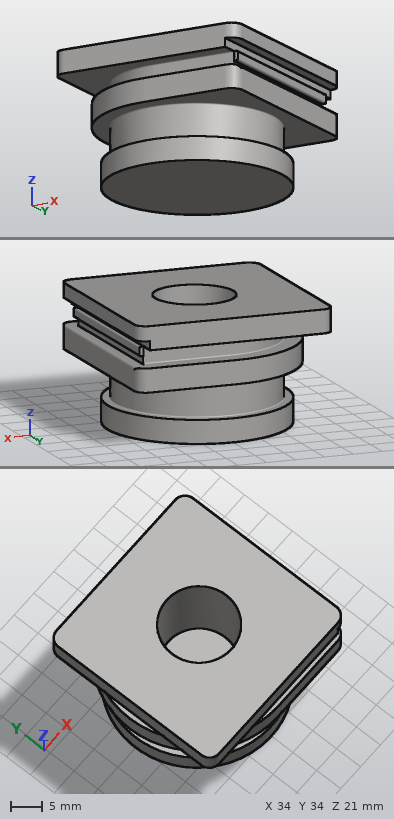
import cadquery as cq

side = 34.0
half_side = side / 2
corner_radius = 2.0
inner_end_x = half_side - corner_radius

total_height = 21.0
disc_thickness = 4.0
upper_neck_height = 3.0
head_bottom = total_height - disc_thickness
collar_top = head_bottom - upper_neck_height
collar_bottom = collar_top - disc_thickness
foot_top = disc_thickness

neck_radius = 28.0 / 2
foot_radius = 31.0 / 2
root_fillet = 0.2

edge_lip_thickness = 2.5

rib_projection = 0.75
rib_height = 1.6
rib_half_width = neck_radius + root_fillet
rib_rounding = 0.35

collar_edge_rounding = 0.5

bore_x = 0.48
bore_top_radius = 13.53 / 2
bore_floor_radius = 13.0 / 2
bore_floor = 5.0


def cylinder(radius, bottom, top):
    return cq.Workplane("XY").workplane(offset=bottom).circle(radius).extrude(top - bottom)


def d_shape(radius, end_x, bottom, top):
    """Half round on -X, straight sided up to end_x on +X."""
    return (
        cq.Workplane("XY").workplane(offset=bottom)
        .moveTo(0, -radius)
        .lineTo(end_x, -radius)
        .lineTo(end_x, radius)
        .lineTo(0, radius)
        .threePointArc((-radius, 0), (0, -radius))
        .close()
        .extrude(top - bottom)
    )


def box(x_min, x_max, half_width, bottom, top):
    return (
        cq.Workplane("XY").workplane(offset=bottom)
        .center((x_min + x_max) / 2, 0)
        .rect(x_max - x_min, 2 * half_width)
        .extrude(top - bottom)
    )


def make_head():
    plate = box(-half_side, half_side, half_side, head_bottom, total_height)
    plate = plate.edges("|Z").fillet(corner_radius)
    relief = box(inner_end_x, side, side, head_bottom, total_height - edge_lip_thickness)
    return plate.cut(relief)


def make_collar():
    collar = d_shape(half_side, half_side, collar_bottom, collar_top)
    collar = collar.edges("|Z and >X").fillet(corner_radius)
    envelope = box(-side, half_side, side, collar_bottom, collar_top)
    envelope = envelope.edges(">X and >Z").fillet(collar_edge_rounding)
    return collar.intersect(envelope)


def fillet_roots(neck, lower_flange, upper_flange, bottom, top):
    """Join a neck to the flanges at its ends and fillet both inner corners."""
    joined = lower_flange.union(neck).union(upper_flange)
    reach = neck_radius + root_fillet
    for level in (bottom, top):
        roots = cq.selectors.BoxSelector(
            (-reach, -reach, level - root_fillet),
            (half_side, reach, level + root_fillet),
            boundingbox=True,
        )
        joined = joined.edges(roots).fillet(root_fillet)
    return joined


def make_lower_stem():
    return fillet_roots(
        cylinder(neck_radius, foot_top, collar_bottom),
        cylinder(foot_radius, 0, foot_top),
        cylinder(foot_radius, collar_bottom, collar_top),
        foot_top,
        collar_bottom,
    )


def make_upper_stem():
    return fillet_roots(
        d_shape(neck_radius, inner_end_x, collar_top, head_bottom),
        d_shape(foot_radius, inner_end_x, collar_bottom, collar_top),
        d_shape(foot_radius, inner_end_x, head_bottom, total_height - edge_lip_thickness),
        collar_top,
        head_bottom,
    )


def make_rib():
    rib = box(inner_end_x, inner_end_x + rib_projection, rib_half_width, head_bottom - rib_height, head_bottom)
    return rib.faces(">X").edges("|Y").fillet(rib_rounding)


def make_bore():
    return (
        cq.Workplane("XY").workplane(offset=bore_floor)
        .center(bore_x, 0)
        .circle(bore_floor_radius)
        .workplane(offset=total_height - bore_floor)
        .circle(bore_top_radius)
        .loft()
    )


result = (
    make_lower_stem()
    .union(make_upper_stem())
    .union(make_collar())
    .union(make_rib())
    .union(make_head())
    .cut(make_bore())
)